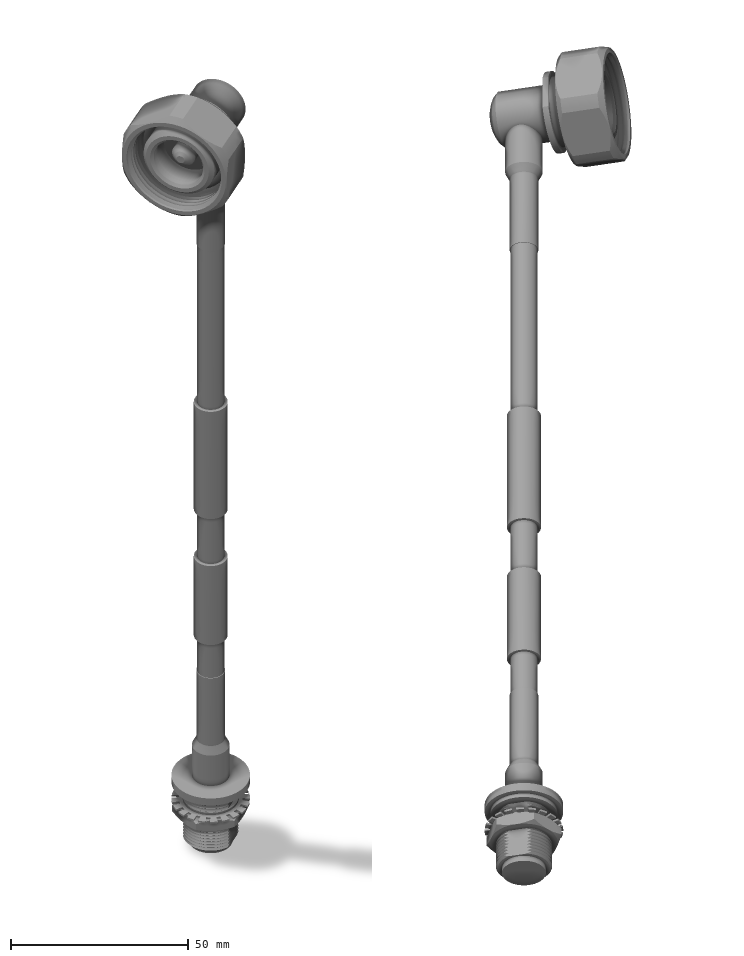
import cadquery as cq
import math


cable_radius = 3.85
sleeve_radius = 4.8
sleeve_spans = [(72.9, 101.0), (117.7, 155.8)]
boot_radius = 4.05
boot_tube_length = 24.0
boot_taper_length = 2.5
boot_collar_radius = 5.3
boot_collar_length = 10.8

jack_tip_radius = 6.2
jack_tip_height = 1.7
jack_thread_major_radius = 15.875 / 2
jack_thread_depth = 0.6
jack_thread_pitch = 25.4 / 24
jack_flat_distance = 6.85
jack_gasket_radius = 9.5
jack_gasket_bottom = 19.5
jack_flange_radius = 11.1
jack_flange_bottom = 20.7
jack_flange_top = 23.2
jack_nut_across_flats = 19.05
jack_nut_bottom = 10.4
jack_nut_height = 3.9
jack_nut_chamfer = 0.9
lock_washer_radius = 11.1
lock_washer_thickness = 0.6
lock_washer_hub_radius = 7.95
lock_washer_hub_height = 0.8
lock_washer_tooth_count = 20
lock_washer_notch_width = 1.2
lock_washer_root_radius = 9.0

plug_height = 257.7
barrel_radius = 8.1
barrel_back = 6.2
dome_edge_radius = 6.8
dome_edge = 7.6
dome_top = 9.6
plug_flange_radius = 11.7
plug_flange_back = -8.2
plug_flange_front = -9.9
plug_flange_across_flats = 21.2
neck_radius = 10.1
tube_outer_radius = 10.8
tube_inner_radius = 7.5
tube_inner_chamfer = 0.8
tube_outer_chamfer = 1.2
tube_front = -24.8
socket_floor = -16.5
seal_outer_radius = 13.2
seal_back = -14.8
seal_front = -17.6
pin_radius = 3.5
pin_shoulder_radius = 2.2
pin_tip_radius = 1.2
pin_front = -22.5
pin_taper_length = 1.5
pin_nose_length = 0.8

nut_across_flats = 32.0
nut_turned_radius = 17.4
nut_back = -13.2
nut_front = -27.2
nut_chamfer = 1.6
nut_thread_minor_radius = 13.7
nut_thread_depth = 0.8
nut_thread_pitch = 1.5
nut_thread_count = 6


def turned_on_z(points):
    """Solid of revolution about Z from (radius, height) points that start and end on the axis."""
    return cq.Workplane("XZ").polyline(points).close().revolve(360, (0, 0, 0), (0, 1, 0))


def ring(outer_radius, inner_radius, bottom, top):
    """Plain round sleeve on the Z axis."""
    plan = cq.Workplane("XY").workplane(offset=bottom)
    return plan.circle(outer_radius).circle(inner_radius).extrude(top - bottom)


def turned_on_plug_axis(profile):
    """Revolve a closed XY sketch (X is radius) about Y and lift it to the plug axis."""
    return profile.close().revolve(360, (0, 0, 0), (0, 1, 0)).translate((0, 0, plug_height))


def hexagon_across_flats(workplane, across_flats):
    """Hexagon with one pair of flats facing +X and -X."""
    corner_diameter = across_flats / math.cos(math.pi / 6)
    return workplane.transformed(rotate=(0, 0, 30)).polygon(6, corner_diameter)



def jack_thread():
    """Threaded barrel with ring grooves and a flat on each X side."""
    minor_radius = jack_thread_major_radius - jack_thread_depth
    turns = int((jack_gasket_bottom - jack_tip_height) / jack_thread_pitch)
    points = [(0, jack_tip_height), (minor_radius, jack_tip_height)]
    for turn in range(turns):
        root = jack_tip_height + turn * jack_thread_pitch
        points.append((jack_thread_major_radius, root + jack_thread_pitch / 2))
        points.append((minor_radius, root + jack_thread_pitch))
    points += [(minor_radius, jack_gasket_bottom), (0, jack_gasket_bottom)]
    thread = turned_on_z(points)
    flats = cq.Workplane("XY").box(
        2 * jack_flat_distance, 4 * jack_thread_major_radius, 2 * jack_gasket_bottom)
    return thread.intersect(flats)


def jack_nut():
    """Hexagon nut with both ends turned down at the corners."""
    corner_radius = jack_nut_across_flats / 2 / math.cos(math.pi / 6)
    top = jack_nut_bottom + jack_nut_height
    face_radius = jack_nut_across_flats / 2
    plan = cq.Workplane("XY").workplane(offset=jack_nut_bottom)
    hexagon = hexagon_across_flats(plan, jack_nut_across_flats).extrude(jack_nut_height)
    return hexagon.intersect(turned_on_z([
        (0, jack_nut_bottom),
        (face_radius, jack_nut_bottom),
        (corner_radius, jack_nut_bottom + jack_nut_chamfer),
        (corner_radius, top - jack_nut_chamfer),
        (face_radius, top),
        (0, top),
    ]))


def jack_lock_washer():
    """Thin toothed washer on the nut with a small raised hub."""
    bottom = jack_nut_bottom + jack_nut_height
    top = bottom + lock_washer_thickness
    hub_top = top + lock_washer_hub_height
    washer = turned_on_z([
        (0, bottom),
        (lock_washer_radius, bottom),
        (lock_washer_radius, top),
        (lock_washer_hub_radius, top),
        (lock_washer_hub_radius, hub_top),
        (0, hub_top),
    ])
    notches = (
        cq.Workplane("XY")
        .workplane(offset=bottom)
        .polarArray(lock_washer_radius, 0, 360, lock_washer_tooth_count)
        .rect(2 * (lock_washer_radius - lock_washer_root_radius), lock_washer_notch_width)
        .extrude(lock_washer_thickness)
    )
    return washer.cut(notches)


def make_jack():
    tip = cq.Workplane("XY").circle(jack_tip_radius).extrude(jack_tip_height)
    head = turned_on_z([
        (0, jack_gasket_bottom),
        (jack_gasket_radius, jack_gasket_bottom),
        (jack_gasket_radius, jack_flange_bottom),
        (jack_flange_radius, jack_flange_bottom),
        (jack_flange_radius, jack_flange_top),
        (0, jack_flange_top),
    ])
    return tip.union(jack_thread()).union(jack_nut()).union(jack_lock_washer()).union(head)



def plug_shell():
    """Barrel with a domed back, neck, seal bead and the hollow contact tube."""
    dome_radius = (dome_edge_radius**2 + (dome_top - dome_edge)**2) / (2 * (dome_top - dome_edge))
    half_edge = dome_edge_radius / 2
    dome_middle = dome_top - dome_radius + math.sqrt(dome_radius**2 - half_edge**2)
    seal_middle_radius = (tube_outer_radius + seal_outer_radius) / 2
    profile = (
        cq.Workplane("XY")
        .moveTo(0, dome_top)
        .threePointArc((half_edge, dome_middle), (dome_edge_radius, dome_edge))
        .lineTo(barrel_radius, barrel_back)
        .lineTo(barrel_radius, plug_flange_front)
        .lineTo(neck_radius, plug_flange_front)
        .lineTo(neck_radius, seal_back)
        .lineTo(seal_outer_radius, seal_back)
        .lineTo(seal_outer_radius, seal_front)
        .threePointArc(
            (seal_middle_radius, seal_front - (seal_outer_radius - seal_middle_radius)),
            (tube_outer_radius, seal_front))
        .lineTo(tube_outer_radius, tube_front + tube_outer_chamfer)
        .lineTo(tube_outer_radius - tube_outer_chamfer, tube_front)
        .lineTo(tube_inner_radius + tube_inner_chamfer, tube_front)
        .lineTo(tube_inner_radius, tube_front + tube_inner_chamfer)
        .lineTo(tube_inner_radius, socket_floor)
        .lineTo(0, socket_floor)
    )
    return turned_on_plug_axis(profile)


def plug_flange():
    """Round flange with a wrench flat on each X side."""
    profile = cq.Workplane("XY").moveTo(0, plug_flange_back)
    profile = profile.lineTo(plug_flange_radius, plug_flange_back)
    profile = profile.lineTo(plug_flange_radius, plug_flange_front).lineTo(0, plug_flange_front)
    flats = cq.Workplane("XY").box(
        plug_flange_across_flats, 4 * plug_flange_radius, 4 * plug_flange_radius)
    return turned_on_plug_axis(profile).intersect(flats.translate((0, 0, plug_height)))


def plug_pin():
    """Centre contact with a two-step tapered nose."""
    nose_back = pin_front + pin_nose_length
    profile = (
        cq.Workplane("XY")
        .moveTo(0, socket_floor)
        .lineTo(pin_radius, socket_floor)
        .lineTo(pin_radius, nose_back + pin_taper_length)
        .lineTo(pin_shoulder_radius, nose_back)
        .lineTo(pin_tip_radius, pin_front)
        .lineTo(0, pin_front)
    )
    return turned_on_plug_axis(profile)


def make_plug():
    return plug_shell().union(plug_flange()).union(plug_pin())



def coupling_nut_bore():
    """Clearance for the plug neck and seal bead, then ring thread grooves and a flared mouth."""
    major_radius = nut_thread_minor_radius + nut_thread_depth
    thread_back = nut_front + nut_thread_count * nut_thread_pitch
    profile = (
        cq.Workplane("XY")
        .moveTo(0, nut_back)
        .lineTo(neck_radius, nut_back)
        .lineTo(neck_radius, seal_back)
        .lineTo(nut_thread_minor_radius, seal_back)
    )
    for turn in range(nut_thread_count):
        groove_back = thread_back - turn * nut_thread_pitch
        profile = profile.lineTo(nut_thread_minor_radius, groove_back)
        profile = profile.lineTo(major_radius, groove_back - nut_thread_pitch / 2)
    profile = profile.lineTo(major_radius, nut_front).lineTo(0, nut_front)
    return turned_on_plug_axis(profile)


def make_coupling_nut():
    face_radius = nut_turned_radius - nut_chamfer
    plan = cq.Workplane("XZ", origin=(0, nut_back, plug_height))
    hexagon = hexagon_across_flats(plan, nut_across_flats).extrude(nut_back - nut_front)
    envelope = (
        cq.Workplane("XY")
        .moveTo(0, nut_back)
        .lineTo(face_radius, nut_back)
        .lineTo(nut_turned_radius, nut_back - nut_chamfer)
        .lineTo(nut_turned_radius, nut_front + nut_chamfer)
        .lineTo(face_radius, nut_front)
        .lineTo(0, nut_front)
    )
    return hexagon.intersect(turned_on_plug_axis(envelope)).cut(coupling_nut_bore())



def make_cable(plug):
    """Straight cable from the jack flange up to the plug barrel, ending in the barrel's curve."""
    length = plug_height - jack_flange_top
    plan = cq.Workplane("XY").workplane(offset=jack_flange_top)
    return plan.circle(cable_radius).extrude(length).cut(plug)


def make_boot(collar_length):
    """Boot standing on Z = 0 with its wide collar down and its narrow tube up."""
    taper_top = collar_length + boot_taper_length
    tube_top = taper_top + boot_tube_length
    outside = turned_on_z([
        (0, 0),
        (boot_collar_radius, 0),
        (boot_collar_radius, collar_length),
        (boot_radius, taper_top),
        (boot_radius, tube_top),
        (0, tube_top),
    ])
    return outside.cut(cq.Workplane("XY").circle(cable_radius).extrude(tube_top))


def make_boots(plug):
    """Lower boot on the jack flange; upper boot turned over, its collar ending in the barrel's curve."""
    upper_collar_length = boot_collar_length + barrel_radius
    lower = make_boot(boot_collar_length).translate((0, 0, jack_flange_top))
    upper = make_boot(upper_collar_length).rotate((0, 0, 0), (1, 0, 0), 180)
    return [lower, upper.translate((0, 0, plug_height)).cut(plug)]


jack = make_jack()
plug = make_plug()
coupling_nut = make_coupling_nut()
cable = make_cable(plug)
boots = make_boots(plug)
sleeves = [ring(sleeve_radius, cable_radius, bottom, top) for bottom, top in sleeve_spans]

result = cq.Compound.makeCompound([
    jack.val(),
    plug.val(),
    coupling_nut.val(),
    cable.val(),
    *[boot.val() for boot in boots],
    *[sleeve.val() for sleeve in sleeves],
])